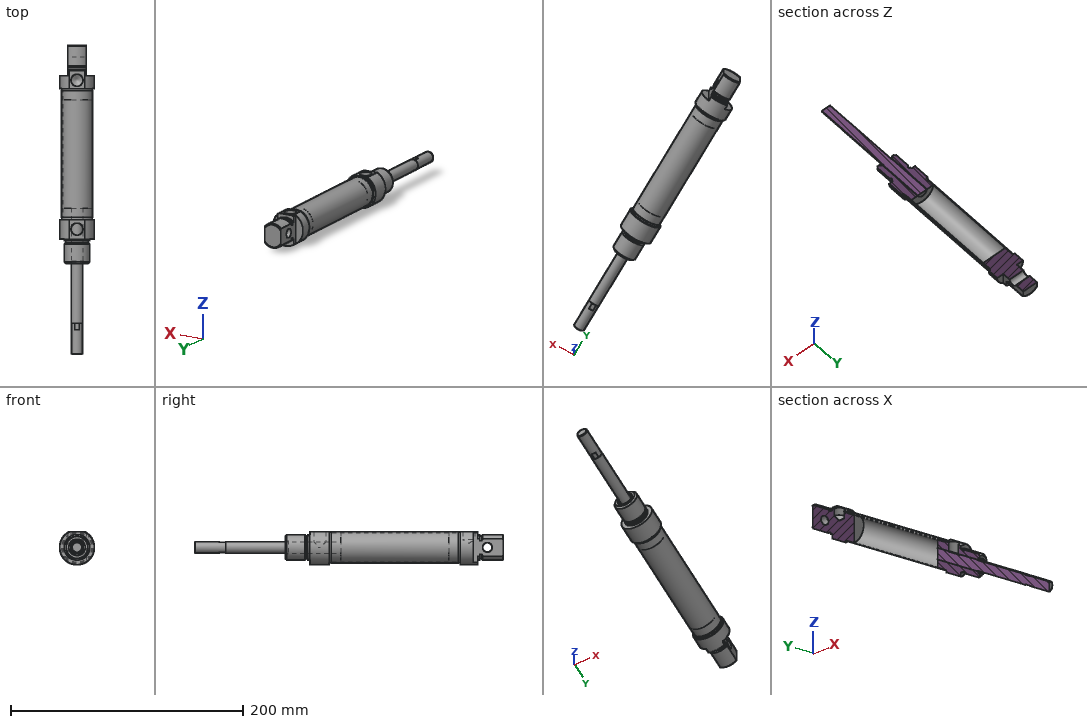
import cadquery as cq
import math

TOTAL_LENGTH = 266.0

FLANGE_DIA = 30.0
TUBE_BORE_DIA = 25.0
TUBE_WALL = 1.0
TUBE_DIA = TUBE_BORE_DIA + 2 * TUBE_WALL
LIP_DIA = 26.5
NOSE_DIA = 22.0
GROOVE_DIA = 19.7
ROD_DIA = 10.0
THREAD_DIA = 9.8
ROD_TIP_DIA = 8.5
RECESS_DIA = 11.2
RECESS_MOUTH_DIA = 14.0
PORT_DIA = 10.5
CLEVIS_HOLE_DIA = 8.0

THREAD_END = 26.9
NOSE_FRONT = 78.0
FRONT_FLANGE_FRONT = 99.2
FRONT_FLANGE_REAR = 116.0
REAR_FLANGE_FRONT = 228.8
CLEVIS_FLAT_FRONT = 240.0
REAR_FLANGE_REAR = 244.0
FRONT_PORT_Y = 107.7
REAR_PORT_Y = 236.0
CLEVIS_HOLE_Y = 252.2

LIP_LENGTH = 1.9
SPIGOT_LENGTH = 8.0
COLLAR_LENGTH = 1.5
GROOVE_FLOOR = 1.5
GROOVE_TAPER = (NOSE_DIA - GROOVE_DIA) / 2

NOSE_CHAMFER = 1.5
CLEVIS_CHAMFER_LENGTH = 0.8
CLEVIS_CHAMFER_DEPTH = 1.0
RECESS_MOUTH_DEPTH = 1.3
RECESS_DEPTH = 2.7
ROD_TIP_CHAMFER_LENGTH = 0.5
PORT_FLAT_Z = TUBE_DIA / 2
CLEVIS_WIDTH = 16.0
REAR_PORT_DEPTH = 6.6
DRILL_POINT_ANGLE = 118.0
WRENCH_FLAT_LENGTH = 5.5
WRENCH_FLAT_Z = 4.5

TUBE_FRONT = FRONT_FLANGE_REAR + LIP_LENGTH
TUBE_REAR = REAR_FLANGE_FRONT - LIP_LENGTH
FRONT_HEAD_END = TUBE_FRONT + SPIGOT_LENGTH


def revolve_steps(profile):
    """Revolve (diameter, y) corners about the Y axis, closing the profile on the axis."""
    points = [(diameter / 2, y) for diameter, y in profile]
    points = [(0, points[0][1])] + points + [(0, points[-1][1])]
    return cq.Workplane("XY").polyline(points).close().revolve(360, (0, 0), (0, 1))


def block(x_size, y_front, y_rear, z_low, z_high, x_low):
    """Box cutter given by its limits."""
    size = (x_size, y_rear - y_front, z_high - z_low)
    return cq.Workplane("XY").box(*size, centered=False).translate((x_low, y_front, z_low))


def port_flat(y_front, y_rear):
    """Cutter for the flat on top of a flange."""
    return block(FLANGE_DIA, y_front, y_rear, PORT_FLAT_Z, FLANGE_DIA, -FLANGE_DIA / 2)


def make_tube():
    length = TUBE_REAR - TUBE_FRONT
    plane = cq.Workplane("XZ", origin=(0, TUBE_REAR, 0))
    return plane.circle(TUBE_DIA / 2).circle(TUBE_BORE_DIA / 2).extrude(length)


def make_front_head():
    collar_front = FRONT_FLANGE_FRONT - COLLAR_LENGTH
    groove_front = collar_front - GROOVE_FLOOR
    head = revolve_steps([
        (NOSE_DIA - 2 * NOSE_CHAMFER, NOSE_FRONT),
        (NOSE_DIA, NOSE_FRONT + NOSE_CHAMFER),
        (NOSE_DIA, groove_front - GROOVE_TAPER),
        (GROOVE_DIA, groove_front),
        (GROOVE_DIA, collar_front),
        (NOSE_DIA, collar_front),
        (NOSE_DIA, FRONT_FLANGE_FRONT),
        (FLANGE_DIA, FRONT_FLANGE_FRONT),
        (FLANGE_DIA, FRONT_FLANGE_REAR),
        (LIP_DIA, FRONT_FLANGE_REAR),
        (LIP_DIA, TUBE_FRONT),
        (TUBE_BORE_DIA, TUBE_FRONT),
        (TUBE_BORE_DIA, FRONT_HEAD_END),
    ])

    head = head.cut(revolve_steps([
        (RECESS_MOUTH_DIA, NOSE_FRONT),
        (RECESS_MOUTH_DIA, NOSE_FRONT + RECESS_MOUTH_DEPTH),
        (RECESS_DIA, NOSE_FRONT + RECESS_MOUTH_DEPTH),
        (RECESS_DIA, NOSE_FRONT + RECESS_DEPTH),
        (ROD_DIA, NOSE_FRONT + RECESS_DEPTH),
        (ROD_DIA, FRONT_HEAD_END),
    ]))

    head = head.cut(port_flat(FRONT_FLANGE_FRONT, FRONT_FLANGE_REAR))
    port = cq.Workplane("XY", origin=(0, FRONT_PORT_Y, 0)).circle(PORT_DIA / 2).extrude(PORT_FLAT_Z)
    return head.cut(port)


def make_rear_head():
    collar_rear = REAR_FLANGE_REAR + COLLAR_LENGTH
    groove_rear = collar_rear + GROOVE_FLOOR
    head = revolve_steps([
        (TUBE_BORE_DIA, TUBE_REAR - SPIGOT_LENGTH),
        (TUBE_BORE_DIA, TUBE_REAR),
        (LIP_DIA, TUBE_REAR),
        (LIP_DIA, REAR_FLANGE_FRONT),
        (FLANGE_DIA, REAR_FLANGE_FRONT),
        (FLANGE_DIA, REAR_FLANGE_REAR),
        (NOSE_DIA, REAR_FLANGE_REAR),
        (NOSE_DIA, collar_rear),
        (GROOVE_DIA, collar_rear),
        (GROOVE_DIA, groove_rear),
        (NOSE_DIA, groove_rear + GROOVE_TAPER),
        (NOSE_DIA, TOTAL_LENGTH - CLEVIS_CHAMFER_LENGTH),
        (NOSE_DIA - 2 * CLEVIS_CHAMFER_DEPTH, TOTAL_LENGTH),
    ])

    for x_low in (CLEVIS_WIDTH / 2, -CLEVIS_WIDTH / 2 - FLANGE_DIA):
        head = head.cut(block(FLANGE_DIA, CLEVIS_FLAT_FRONT, TOTAL_LENGTH, -FLANGE_DIA, FLANGE_DIA, x_low))

    hole_plane = cq.Workplane("YZ", origin=(-CLEVIS_WIDTH / 2, CLEVIS_HOLE_Y, 0))
    head = head.cut(hole_plane.circle(CLEVIS_HOLE_DIA / 2).extrude(CLEVIS_WIDTH))

    head = head.cut(port_flat(REAR_FLANGE_FRONT, REAR_FLANGE_REAR))
    point_depth = PORT_DIA / 2 / math.tan(math.radians(DRILL_POINT_ANGLE / 2))
    port_floor = PORT_FLAT_Z - REAR_PORT_DEPTH
    port = (
        cq.Workplane("XZ", origin=(0, REAR_PORT_Y, 0))
        .moveTo(0, PORT_FLAT_Z)
        .lineTo(PORT_DIA / 2, PORT_FLAT_Z)
        .lineTo(PORT_DIA / 2, port_floor)
        .lineTo(0, port_floor - point_depth)
        .close()
        .revolve(360, (0, 0), (0, 1))
    )
    return head.cut(port)


def make_rod():
    rod = revolve_steps([
        (ROD_TIP_DIA, 0),
        (THREAD_DIA, ROD_TIP_CHAMFER_LENGTH),
        (THREAD_DIA, THREAD_END),
        (ROD_DIA, THREAD_END),
        (ROD_DIA, FRONT_HEAD_END),
    ])

    flat_front = THREAD_END - WRENCH_FLAT_LENGTH
    for z_low in (WRENCH_FLAT_Z, -WRENCH_FLAT_Z - ROD_DIA):
        rod = rod.cut(block(ROD_DIA, flat_front, THREAD_END, z_low, z_low + ROD_DIA, -ROD_DIA / 2))
    return rod


tube = make_tube()
front_head = make_front_head()
rear_head = make_rear_head()
rod = make_rod()

result = cq.Compound.makeCompound([tube.val(), front_head.val(), rear_head.val(), rod.val()])